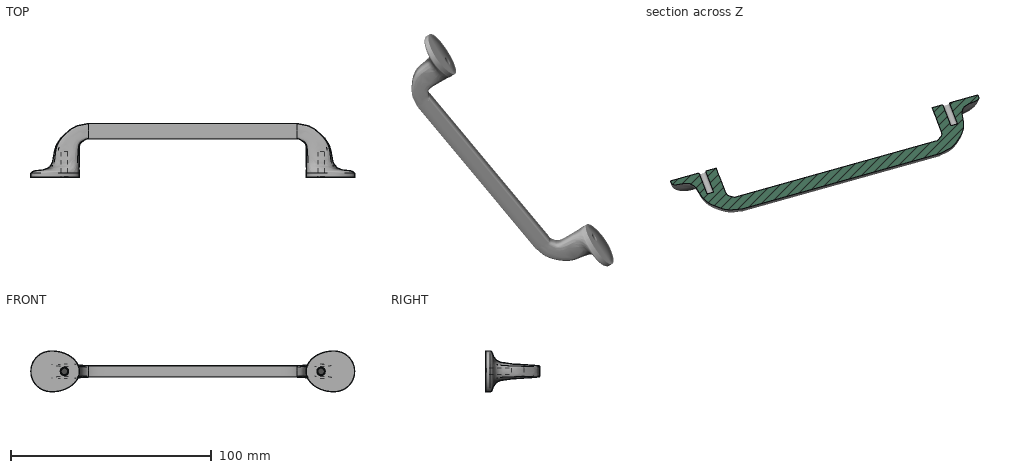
import cadquery as cq
import math

LENGTH = 161.6
PROJECTION = 27.0

BAR_HALF_LENGTH = 51.9
BAR_DEPTH = 7.9
BAR_HEIGHT = 5.8
BAR_EDGE_RADIUS = 0.6
BAR_SQUARENESS = 8

FOOT_HEIGHT = 20.4
RIM_THICKNESS = 2.1
FOOT_OUTER_X = LENGTH / 2
FOOT_INNER_X = 56.5
FOOT_RADIUS = FOOT_HEIGHT / 2
FOOT_SPAN = FOOT_OUTER_X - FOOT_INNER_X
FOOT_WIDEST = FOOT_RADIUS / FOOT_SPAN

HOLE_DIAMETER = 3.2
HOLE_X = 64.0
HOLE_DEPTH = 13.0
COUNTERSINK_DIAMETER = 4.2
COUNTERSINK_DEPTH = 0.5

CORNER_CENTERS = (45, 135, 225, 315)
CORNER_HALF_ANGLE = 7
POINTS_PER_EDGE = 7

LEG_SECTIONS = [
    ((FOOT_OUTER_X, RIM_THICKNESS), (FOOT_INNER_X, RIM_THICKNESS), FOOT_RADIUS, FOOT_WIDEST, 2),
    ((77.2, 3.5), (FOOT_INNER_X, 3.2), 8.9, 0.43, 2.1),
    ((70.8, 6.1), (FOOT_INNER_X, 7.1), 4.8, 0.5, 2.6),
    ((69.3, 11.3), (FOOT_INNER_X, 11.3), 4.0, 0.5, 3),
    ((67.7, 16.8), (FOOT_INNER_X, 15.2), 3.64, 0.5, 4),
    ((63.0, 22.5), (55.6, 17.5), 3.31, 0.5, 5),
    ((57.4, 25.9), (54.0, 18.6), 3.0, 0.5, 7),
    ((BAR_HALF_LENGTH, PROJECTION), (BAR_HALF_LENGTH, PROJECTION - BAR_DEPTH),
     BAR_HEIGHT / 2, 0.5, BAR_SQUARENESS),
]


def section_point(outer, inner, half_height, widest, squareness, degrees):
    """Point of a superellipse section, at a polar angle measured from its inner end."""
    cosine = math.cos(math.radians(degrees))
    sine = math.sin(math.radians(degrees))
    radius = (abs(cosine) ** squareness + abs(sine) ** squareness) ** (-1 / squareness)
    reach = radius * cosine
    along = widest + reach * (1 - widest if reach > 0 else widest)
    x = outer[0] + along * (inner[0] - outer[0])
    y = outer[1] + along * (inner[1] - outer[1])
    return cq.Vector(x, y, half_height * radius * sine)


def section_wire(section):
    """Closed section outline with matching side and corner edges."""
    breaks = []
    for center in CORNER_CENTERS:
        breaks += [center - CORNER_HALF_ANGLE, center + CORNER_HALF_ANGLE]
    edges = []
    for start, end in zip(breaks, breaks[1:] + [breaks[0] + 360]):
        step = (end - start) / (POINTS_PER_EDGE - 1)
        points = [section_point(*section, start + i * step) for i in range(POINTS_PER_EDGE)]
        edges.append(cq.Edge.makeSpline(points))
    return cq.Wire.assembleEdges(edges)


def make_leg():
    """Curved leg at the +X end, with its foot rim and countersunk screw hole."""
    wires = [section_wire(section) for section in LEG_SECTIONS]
    leg = cq.Workplane(cq.Solid.makeLoft(wires))
    rim = cq.Workplane(
        cq.Solid.extrudeLinear(wires[0], [], cq.Vector(0, -RIM_THICKNESS, 0))
    )
    mouth = cq.Vector(HOLE_X, 0, 0)
    inward = cq.Vector(0, 1, 0)
    hole = cq.Solid.makeCylinder(HOLE_DIAMETER / 2, HOLE_DEPTH, mouth, inward)
    countersink = cq.Solid.makeCone(
        COUNTERSINK_DIAMETER / 2, HOLE_DIAMETER / 2, COUNTERSINK_DEPTH, mouth, inward
    )
    return leg.union(rim).cut(cq.Workplane(hole)).cut(cq.Workplane(countersink))


def make_bar():
    """Straight bar with rounded long edges."""
    return (
        cq.Workplane("XY")
        .box(2 * BAR_HALF_LENGTH, BAR_DEPTH, BAR_HEIGHT)
        .edges("|X")
        .fillet(BAR_EDGE_RADIUS)
        .translate((0, PROJECTION - BAR_DEPTH / 2, 0))
    )


right_leg = make_leg()
result = make_bar().union(right_leg).union(right_leg.mirror("YZ"))